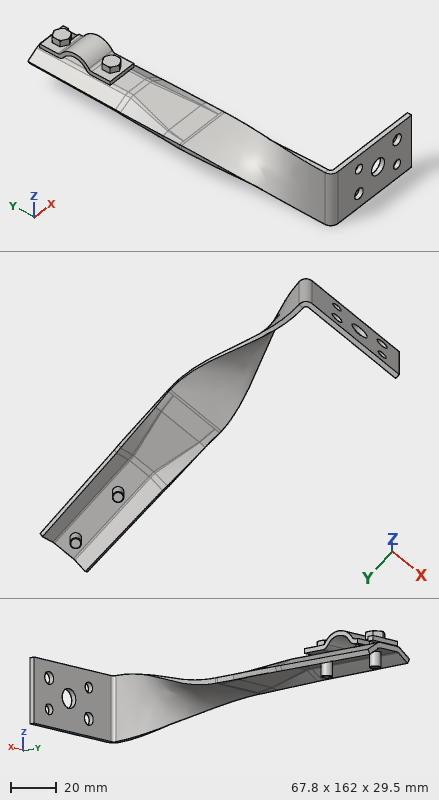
import cadquery as cq
import math

arm_length = 162.0
strip_width = 29.5
strip_thickness = 2.5
bend_radius = 4.0
half_width = strip_width / 2
half_thickness = strip_thickness / 2
bend_inner_radius = bend_radius - strip_thickness

plate_end_x = 53.0
plate_center_x = 30.1
hole_spacing_x = 26.0
hole_spacing_z = 14.0
center_hole_diameter = 8.7
small_hole_diameter = 4.7
large_hole_diameter = 5.7

twist_start_y = bend_radius
twist_end_y = 74.0
ramp_start_y = 75.2
ramp_lower_bend_y = 84.4
ramp_upper_bend_y = 108.7
channel_start_y = 111.6

channel_rise = 4.4
upper_bend_rise = 4.2
lower_bend_rise = 0.73
channel_crease_x = 6.6
lower_crease_x = 11.2
flat_crease_x = 12.0
flat_bend_width = 0.2
channel_end_half_width = 13.6
channel_start_half_width = 14.5
upper_bend_half_width = 14.6

strap_length = 40.0
strap_width = 16.0
strap_thickness = 2.1
strap_center_y = 140.0
strap_bottom_z = 6.5
strap_foot_inner = 9.5
arch_rise = 5.0
foot_bend_radius = 4.0
strap_slot_width = 6.0
strap_top_z = strap_bottom_z + strap_thickness

bolt_spacing = 28.2
bolt_diameter = 5.0
bolt_tip_z = -3.7
bolt_tip_chamfer = 0.3
head_across_flats = 7.8
head_height = 3.4
head_chamfer = 0.4
head_across_corners = head_across_flats / math.cos(math.pi / 6)
bolt_positions_y = [strap_center_y - bolt_spacing / 2, strap_center_y + bolt_spacing / 2]


def make_mounting_plate():
    """Plate with a rounded bend that turns into the vertical start of the arm."""
    left = -half_thickness
    outline = (
        cq.Workplane("XY")
        .moveTo(plate_end_x, 0)
        .lineTo(left + bend_radius, 0)
        .radiusArc((left, bend_radius), bend_radius)
        .lineTo(half_thickness, bend_radius)
        .radiusArc((half_thickness + bend_inner_radius, strip_thickness), -bend_inner_radius)
        .lineTo(plate_end_x, strip_thickness)
        .close()
    )
    plate = outline.extrude(half_width, both=True)

    holes = [(0, 0, center_hole_diameter)]
    for side in (-1, 1):
        x = side * hole_spacing_x / 2
        z = side * hole_spacing_z / 2
        holes.append((x, z, large_hole_diameter))
        holes.append((x, -z, small_hole_diameter))
    for x, z, diameter in holes:
        drill = (
            cq.Workplane("XZ")
            .center(plate_center_x + x, z)
            .circle(diameter / 2)
            .extrude(-strip_thickness)
        )
        plate = plate.cut(drill)
    return plate


def make_twist():
    """Quarter twist whose corners follow S-curves, level with the arm at both ends."""
    flat_corners = [
        (-half_width, half_thickness),
        (half_width, half_thickness),
        (half_width, -half_thickness),
        (-half_width, -half_thickness),
    ]
    third = (twist_end_y - twist_start_y) / 3
    corner_curves = []
    for x, z in flat_corners:
        turned_x, turned_z = -z, x
        corner_curves.append(cq.Edge.makeBezier([
            cq.Vector(turned_x, twist_start_y, turned_z),
            cq.Vector(turned_x, twist_start_y + third, turned_z),
            cq.Vector(x, twist_end_y - third, z),
            cq.Vector(x, twist_end_y, z),
        ]))

    faces = []
    for index, curve in enumerate(corner_curves):
        faces.append(cq.Face.makeRuledSurface(corner_curves[index - 1], curve))
    for end in (0, 1):
        corners = [curve.positionAt(end) for curve in corner_curves]
        faces.append(cq.Face.makeFromWires(cq.Wire.makePolygon(corners, close=True)))
    return cq.Workplane(cq.Solid.makeSolid(cq.Shell.makeShell(faces)))


def mirrored(points):
    """Points of the opposite half of a section, across X = 0."""
    return [(-x, z) for x, z in points]


def section_wire(y, right_upper, right_lower):
    """Closed section from its right half: side edge, bend start, bend middle, bend end."""
    def at(point):
        return cq.Vector(point[0], y, point[1])

    def half_edges(points):
        edge, bend_start, bend_middle, bend_end = [at(point) for point in points]
        if abs(bend_start.z - bend_end.z) > 0:
            bend = cq.Edge.makeThreePointArc(bend_start, bend_middle, bend_end)
        else:
            bend = cq.Edge.makeLine(bend_start, bend_end)
        return [cq.Edge.makeLine(edge, bend_start), bend]

    left_upper = mirrored(right_upper)
    left_lower = mirrored(right_lower)
    edges = [
        *half_edges(right_upper),
        cq.Edge.makeLine(at(right_upper[-1]), at(left_upper[-1])),
        *reversed(half_edges(left_upper)),
        cq.Edge.makeLine(at(left_upper[0]), at(left_lower[0])),
        *half_edges(left_lower),
        cq.Edge.makeLine(at(left_lower[-1]), at(right_lower[-1])),
        *reversed(half_edges(right_lower)),
        cq.Edge.makeLine(at(right_lower[0]), at(right_upper[0])),
    ]
    return cq.Wire.assembleEdges(edges)


def channel_section(y, edge_x, crease_x, rise):
    """Crown with two sloping flanks; the upper side edges stay level with the flat strip."""
    slope = math.atan2(rise, edge_x - crease_x)
    crown = half_thickness + rise
    bend_center_x = crease_x - bend_radius * math.tan(slope / 2)
    bend_center_z = crown - bend_radius

    def surface(radius, edge_point):
        bend = []
        for angle in (slope, slope / 2, 0):
            x = bend_center_x + radius * math.sin(angle)
            z = bend_center_z + radius * math.cos(angle)
            bend.append((x, z))
        return [edge_point, *bend]

    lower_edge = (
        edge_x - strip_thickness * math.sin(slope),
        half_thickness - strip_thickness * math.cos(slope),
    )
    upper = surface(bend_radius, (edge_x, half_thickness))
    lower = surface(bend_inner_radius, lower_edge)
    return section_wire(y, upper, lower)


def flat_section(y):
    """Plain strip section, divided where the creases fade out."""
    xs = [half_width, flat_crease_x, flat_crease_x - flat_bend_width / 2, flat_crease_x - flat_bend_width]
    upper = [(x, half_thickness) for x in xs]
    lower = [(x, -half_thickness) for x in xs]
    return section_wire(y, upper, lower)


def make_channel():
    """Flat strip that ramps up into the channel, which narrows towards its open end."""
    sections = [
        flat_section(ramp_start_y),
        channel_section(ramp_lower_bend_y, half_width, lower_crease_x, lower_bend_rise),
        channel_section(ramp_upper_bend_y, upper_bend_half_width, channel_crease_x, upper_bend_rise),
        channel_section(channel_start_y, channel_start_half_width, channel_crease_x, channel_rise),
        channel_section(arm_length, channel_end_half_width, channel_crease_x, channel_rise),
    ]
    channel = cq.Workplane(cq.Solid.makeLoft(sections, True))
    flat_length = ramp_start_y - twist_end_y
    flat = cq.Workplane("XY").box(strip_width, flat_length, strip_thickness)
    return channel.union(flat.translate((0, twist_end_y + flat_length / 2, 0)))


def shank_cylinder(y):
    """Plain bolt shank, which also cuts the holes that fit it."""
    return (
        cq.Workplane("XY")
        .workplane(offset=bolt_tip_z)
        .center(0, y)
        .circle(bolt_diameter / 2)
        .extrude(strap_top_z - bolt_tip_z)
    )


def make_arm():
    """Plate, twist and channel as one bent strip, drilled for the bolts."""
    arm = make_mounting_plate().union(make_twist()).union(make_channel())
    for y in bolt_positions_y:
        arm = arm.cut(shank_cylinder(y))
    return arm


def make_strap():
    """Flat feet joined by an arch; each foot bend runs tangent into the arch."""
    arch_angle = 2 * math.atan(arch_rise / strap_foot_inner)
    arch_inner_radius = strap_foot_inner / math.sin(arch_angle) - foot_bend_radius
    foot_bend_center_z = strap_bottom_z + foot_bend_radius
    arch_center_z = strap_bottom_z + arch_rise - arch_inner_radius

    def foot_bend_point(side, radius, angle):
        y = side * (strap_foot_inner - radius * math.sin(angle))
        return (strap_center_y + y, foot_bend_center_z - radius * math.cos(angle))

    def arched_path(sketch, start_side, foot_radius, arch_radius):
        """Foot bend, arch and opposite foot bend along one face of the strap."""
        crest = (strap_center_y, arch_center_z + arch_radius)
        return (
            sketch
            .lineTo(*foot_bend_point(start_side, foot_radius, 0))
            .threePointArc(
                foot_bend_point(start_side, foot_radius, arch_angle / 2),
                foot_bend_point(start_side, foot_radius, arch_angle),
            )
            .threePointArc(crest, foot_bend_point(-start_side, foot_radius, arch_angle))
            .threePointArc(
                foot_bend_point(-start_side, foot_radius, arch_angle / 2),
                foot_bend_point(-start_side, foot_radius, 0),
            )
        )

    front_y = strap_center_y - strap_length / 2
    back_y = strap_center_y + strap_length / 2
    outline = cq.Workplane("YZ").moveTo(front_y, strap_bottom_z)
    outline = arched_path(outline, -1, foot_bend_radius, arch_inner_radius)
    outline = outline.lineTo(back_y, strap_bottom_z).lineTo(back_y, strap_top_z)
    outline = arched_path(
        outline, 1, foot_bend_radius - strap_thickness, arch_inner_radius + strap_thickness
    )
    strap = outline.lineTo(front_y, strap_top_z).close().extrude(strap_width / 2, both=True)

    front_bolt_y, rear_bolt_y = bolt_positions_y
    slot_radius = strap_slot_width / 2
    slot = (
        cq.Workplane("XY")
        .workplane(offset=strap_bottom_z)
        .moveTo(strap_width / 2, rear_bolt_y - slot_radius)
        .lineTo(0, rear_bolt_y - slot_radius)
        .threePointArc((-slot_radius, rear_bolt_y), (0, rear_bolt_y + slot_radius))
        .lineTo(strap_width / 2, rear_bolt_y + slot_radius)
        .close()
        .extrude(strap_thickness)
    )
    return strap.cut(shank_cylinder(front_bolt_y)).cut(slot)


def make_bolt(y):
    """Hexagon bolt with two corners along Y and a turned chamfer on its head."""
    shank = shank_cylinder(y).faces("<Z").chamfer(bolt_tip_chamfer)
    head_base = cq.Workplane("XY").workplane(offset=strap_top_z).center(0, y)
    hexagon = head_base.transformed(rotate=(0, 0, 90)).polygon(6, head_across_corners).extrude(head_height)
    rounding = head_base.circle(head_across_corners / 2).extrude(head_height)
    rounding = rounding.faces(">Z").chamfer(head_chamfer)
    return shank.union(hexagon.intersect(rounding))


arm = make_arm()
strap = make_strap()
bolts = [make_bolt(y) for y in bolt_positions_y]

result = cq.Compound.makeCompound([
    arm.solids().val(),
    strap.solids().val(),
    *[bolt.solids().val() for bolt in bolts],
])